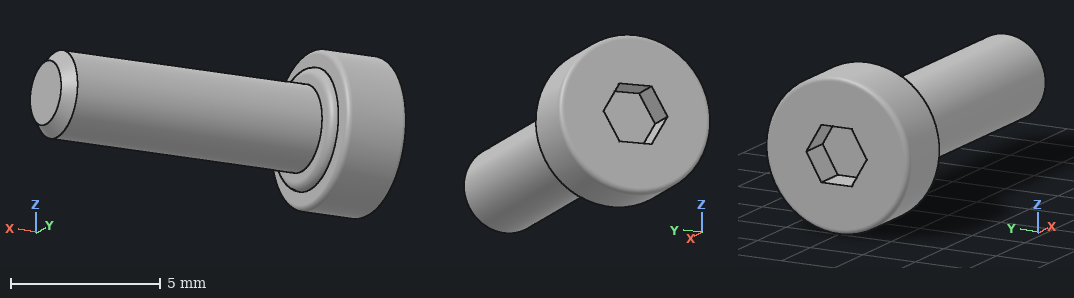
import cadquery as cq
import math

total_length = 12.3
head_diameter = 5.5
head_height = 2.3
head_edge_radius = 0.2
shank_diameter = 3.0
tip_chamfer = 0.4

socket_across_flats = 1.99
socket_depth = 1.15
socket_across_corners = socket_across_flats / math.cos(math.radians(30))

ring_diameter = 4.21
ring_thickness = 0.3


def make_screw():
    """Cylindrical head with rounded rims, chamfered shank and hex socket."""
    head = cq.Workplane("YZ").circle(head_diameter / 2).extrude(head_height)
    head = head.faces("<X or >X").edges().fillet(head_edge_radius)

    shank = (
        cq.Workplane("YZ", origin=(head_height, 0, 0))
        .circle(shank_diameter / 2)
        .extrude(total_length - head_height)
        .faces(">X")
        .edges()
        .chamfer(tip_chamfer)
    )

    socket = cq.Workplane("YZ").polygon(6, socket_across_corners).extrude(socket_depth)
    return head.union(shank).cut(socket)


def make_sealing_ring():
    """Ring around the shank whose outer edge is a quarter round as deep as the ring is thick."""
    bore_radius = shank_diameter / 2
    outer_radius = ring_diameter / 2
    ring_end = head_height + ring_thickness
    arc_reach = ring_thickness * math.sin(math.radians(45))
    arc_middle = (head_height + arc_reach, outer_radius - ring_thickness + arc_reach)

    return (
        cq.Workplane("XY")
        .moveTo(head_height, bore_radius)
        .lineTo(head_height, outer_radius)
        .threePointArc(arc_middle, (ring_end, outer_radius - ring_thickness))
        .lineTo(ring_end, bore_radius)
        .close()
        .revolve(360, (0, 0, 0), (1, 0, 0))
    )


screw = make_screw()
sealing_ring = make_sealing_ring()

result = cq.Compound.makeCompound([screw.val(), sealing_ring.val()])